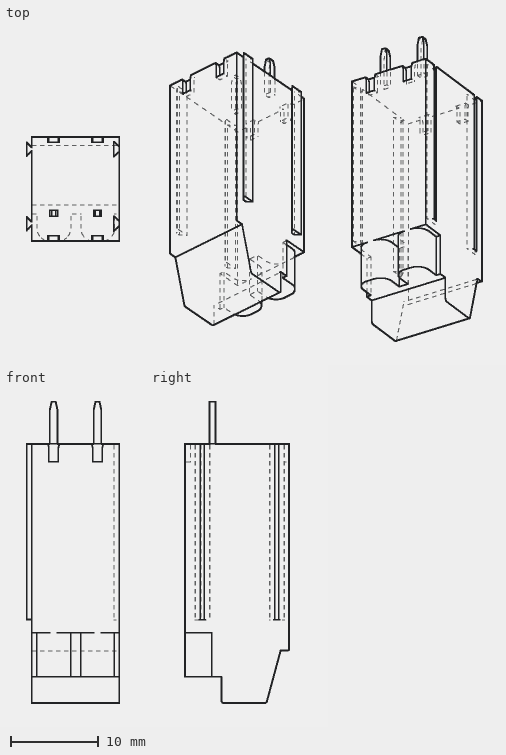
import cadquery as cq

body_width = 10.0
body_depth = 11.9
total_height = 34.35
pin_length = 4.8
body_top = total_height - pin_length
pole_pitch = body_width / 2
pole_centers = [pole_pitch / 2, pole_pitch * 3 / 2]

foot_front = 4.15
foot_back = 9.3
foot_height = 3.0
back_wall_bottom = 5.98
back_ledge = 0.95
foot_edge_radius = 0.3
back_edge_radius = 0.2

post_top = 8.0
post_depth = 3.1
post_width = 3.85
post_corner_diameter = 3.0

dovetail_bottom = 9.5
dovetail_centers = [2.0, 10.48]
tongue_height = 0.6
tongue_width = 1.58
groove_depth = 0.62
groove_width = 1.72

notch_depth = 0.62
notch_height = 2.05
notch_width = 1.1
notch_mouth_width = 1.3
notch_mouth_height = 0.4

pin_width = 0.9
pin_thickness = 0.72
pin_center_y = 3.15
pin_tip_width = 0.48
pin_tip_height = 0.93


def extrude_along_y(outline, y_start, length):
    """Extrude a closed list of (x, z) points in +Y from y_start."""
    plane = cq.Workplane("XZ", origin=(0, y_start, 0))
    return plane.polyline(outline).close().extrude(-length)


def make_housing():
    profile = [
        (0, foot_height),
        (foot_front, foot_height),
        (foot_front, 0),
        (foot_back, 0),
        (body_depth - back_ledge, back_wall_bottom),
        (body_depth, back_wall_bottom),
        (body_depth, body_top),
        (0, body_top),
    ]
    housing = cq.Workplane("YZ").polyline(profile).close().extrude(body_width)
    housing = housing.edges("|X and <Z").fillet(foot_edge_radius)
    back_edge = cq.selectors.NearestToPointSelector((body_width / 2, body_depth, back_wall_bottom))
    return housing.edges(back_edge).fillet(back_edge_radius)


def make_post_clearance():
    """Space around the posts: the full front recess less the post bodies."""
    post_height = post_top - foot_height
    clearance = cq.Workplane("XY").box(body_width, post_depth, post_height, centered=False)
    for x in pole_centers:
        post = cq.Workplane("XY").box(post_width, post_depth, post_height, centered=(True, False, False))
        post = post.edges("|Z and <Y").fillet(post_corner_diameter / 2)
        clearance = clearance.cut(post.translate((x, 0, 0)))
    return clearance.translate((0, 0, foot_height))


def make_dovetail(center_y, root_x, wide_width, height):
    """45-degree dovetail that widens in -X from the face at root_x."""
    wide = wide_width / 2
    neck = wide - height
    outline = [
        (root_x, center_y - neck),
        (root_x, center_y + neck),
        (root_x - height, center_y + wide),
        (root_x - height, center_y - wide),
    ]
    plane = cq.Workplane("XY", origin=(0, 0, dovetail_bottom))
    return plane.polyline(outline).close().extrude(body_top - dovetail_bottom)


def make_notch(center_x, y_start):
    half = notch_width / 2
    mouth_half = notch_mouth_width / 2
    floor = body_top - notch_height
    mouth_bottom = body_top - notch_mouth_height
    outline = [
        (center_x - half, floor),
        (center_x + half, floor),
        (center_x + half, mouth_bottom),
        (center_x + mouth_half, body_top),
        (center_x - mouth_half, body_top),
        (center_x - half, mouth_bottom),
    ]
    return extrude_along_y(outline, y_start, notch_depth)


def make_pin(center_x):
    half = pin_width / 2
    tip_half = pin_tip_width / 2
    shoulder = total_height - pin_tip_height
    outline = [
        (center_x - half, body_top),
        (center_x + half, body_top),
        (center_x + half, shoulder),
        (center_x + tip_half, total_height),
        (center_x - tip_half, total_height),
        (center_x - half, shoulder),
    ]
    return extrude_along_y(outline, pin_center_y - pin_thickness / 2, pin_thickness)


result = make_housing().cut(make_post_clearance())

for y in dovetail_centers:
    result = result.union(make_dovetail(y, 0, tongue_width, tongue_height))
    result = result.cut(make_dovetail(y, body_width, groove_width, groove_depth))

for x in pole_centers:
    result = result.cut(make_notch(x, 0))
    result = result.cut(make_notch(x, body_depth - notch_depth))
    result = result.union(make_pin(x))